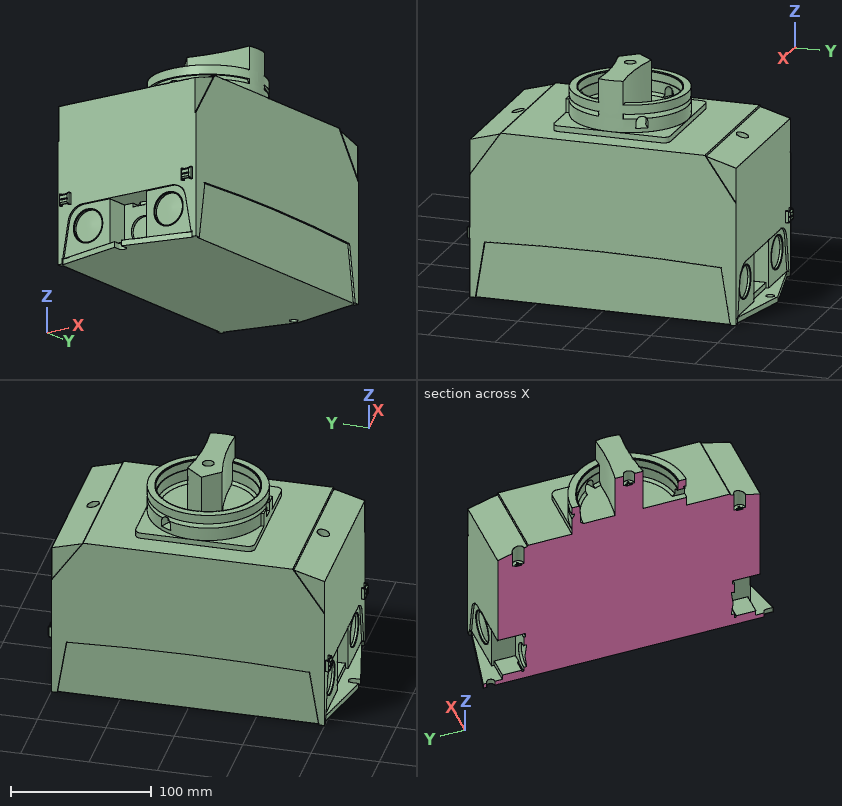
import cadquery as cq
import math

total_length = 221.5
total_height = 167.7

cover_width = 120.0
cover_length = 199.8
cover_height = 125.2
flat_length = 153.3
step_run = 0.7
step_drop = 0.9
slope_end_height = 117.9
cheek_inset = 0.7
cheek_end_height = 91.7
cover_wall = 1.5

plate_width = 113.0
plate_thickness = 4.2
mount_hole_diameter = 6.0
mount_hole_y = 105.0
mount_slot_y = -105.7

panel_bottom_half = 95.7
panel_top_half = 88.8
panel_corner_height = 42.3
panel_crown_height = 44.5

arch_bottom_half = 55.8
arch_top_half = 49.2
arch_height = 41.6
arch_corner_radius = 12.8

pocket_width = 32.0
pocket_depth = 18.2
pocket_floor = 8.2
sill_setback = 2.0
window_width = 17.3
window_height = 2.7
window_depth = 6.6
window_ridge_x = 2.5
window_ridge_depth = 0.7
window_flat_depth = 1.8
notch_width = 18.2
notch_run = 1.0
notch_drop = 1.3

knockout_rim = 25.3
knockout_rim_depth = 0.5
knockout_bore = 24.0
knockout_cone_diameter = 20.2
knockout_depth = 2.2
knockout_cone_height = 1.3
side_knockout_x = 35.0
side_knockout_z = 25.0
middle_knockout_z = 20.5

clip_x = 53.0
clip_size = 8.6
clip_bottom = 43.0
clip_reach = 3.3
clip_chamfer = 1.0
clip_cheek = 1.3
clip_bar_thickness = 1.8
clip_bar_inset = 0.7
clip_groove_height = 0.7
clip_groove_depth = 0.9
clip_groove_offset = 3.8

cover_screw_diameter = 8.6
cover_screw_y = 84.2
handle_screw_diameter = 8.2
screw_depth = 8.9
cross_length = 4.9
cross_width = 1.0
cross_depth = 1.0

seat_size = 86.8
seat_front_overhang = 0.5
seat_top = 129.4
seat_corner_radius = 4.9
drum_diameter = 86.8
neck_diameter = 82.9
drum_shoulder = 139.5
neck_height = 143.1
drum_top = 150.0
cup_floor = 132.5
cup_floor_radius = 34.8
cup_chamfer = 2.0
cup_radius = cup_floor_radius + cup_chamfer
ledge_height = 143.0
ledge_radius = 37.2
rim_height = 149.0
rim_radius = 37.9
front_pad_width = 25.3

padlock_count = 3
padlock_first_angle = 30
padlock_width = 8.6
padlock_top = 141.1

handle_tip_x = -20.4
handle_shoulder_x = -9.7
handle_shoulder_half = 12.6
handle_waist_x = 24.4
handle_waist_half = 8.5
handle_end_half = 9.3

half_width = cover_width / 2
half_length = cover_length / 2
half_flat = flat_length / 2
base_half_length = half_length - cover_wall
drum_radius = drum_diameter / 2
slope_start_y = half_flat + step_run
slope_start_z = cover_height - step_drop


def box(x0, x1, y0, y1, z0, z1):
    """Axis-aligned block between two opposite corners."""
    return cq.Workplane("XY").box(x1 - x0, y1 - y0, z1 - z0, centered=False).translate((x0, y0, z0))


def both_ends(shape):
    """The shape together with its mirror image at the opposite Y end."""
    return shape.union(shape.mirror("XZ"))


def both_sides(shape):
    """The shape together with its mirror image at the opposite X side."""
    return shape.union(shape.mirror("YZ"))


def cover_body():
    half_profile = [
        (half_length, 0),
        (half_length, slope_end_height),
        (slope_start_y, slope_start_z),
        (half_flat, cover_height),
    ]
    other_half = [(-y, z) for y, z in reversed(half_profile)]
    return cq.Workplane("YZ").polyline(half_profile + other_half).close().extrude(half_width, both=True)


def corner_cheeks():
    outline = [
        (half_length, cheek_end_height),
        (half_length, cover_height),
        (slope_start_y, cover_height),
        (slope_start_y, slope_start_z),
    ]
    cheek = cq.Workplane("YZ").workplane(offset=half_width - cheek_inset).polyline(outline).close()
    return both_ends(both_sides(cheek.extrude(cheek_inset)))


def side_openings():
    panel = (
        cq.Workplane("YZ")
        .workplane(offset=half_width - cover_wall)
        .moveTo(-panel_bottom_half, 0)
        .lineTo(-panel_top_half, panel_corner_height)
        .threePointArc((0, panel_crown_height), (panel_top_half, panel_corner_height))
        .lineTo(panel_bottom_half, 0)
        .close()
        .extrude(cover_wall)
    )
    return both_sides(panel)


def end_openings():
    outline = [
        (-arch_bottom_half, plate_thickness),
        (-arch_top_half, arch_height),
        (arch_top_half, arch_height),
        (arch_bottom_half, plate_thickness),
    ]
    arch = cq.Workplane("XZ", origin=(0, -base_half_length, 0)).polyline(outline).close().extrude(cover_wall)
    arch = arch.edges("|Y and >Z").fillet(arch_corner_radius)
    plate_gap = box(-plate_width / 2, plate_width / 2, -half_length, -base_half_length, 0, plate_thickness)
    return both_ends(arch.union(plate_gap))


def mounting_plate():
    half_plate = plate_width / 2
    slope = (total_length / 2 - base_half_length) / (half_plate - mount_hole_diameter / 2)
    slot_tip = base_half_length + slope * half_plate
    outline = [
        (-half_plate, -base_half_length),
        (0, -slot_tip),
        (half_plate, -base_half_length),
        (half_plate, base_half_length),
        (0, total_length / 2),
        (-half_plate, base_half_length),
    ]
    return cq.Workplane("XY").polyline(outline).close().extrude(plate_thickness)


def mounting_cuts():
    radius = mount_hole_diameter / 2
    hole = cq.Workplane("XY").center(0, mount_hole_y).circle(radius).extrude(plate_thickness)
    slot_end = cq.Workplane("XY").center(0, mount_slot_y).circle(radius).extrude(plate_thickness)
    slot = box(-radius, radius, -total_length, mount_slot_y, 0, plate_thickness)
    return hole.union(slot_end).union(slot)


def cable_pockets():
    half_pocket = pocket_width / 2
    back = -base_half_length + pocket_depth
    sill = -base_half_length + sill_setback
    pocket = box(-half_pocket, half_pocket, -base_half_length, back, pocket_floor, arch_height)
    step = box(-half_pocket, half_pocket, -base_half_length, sill, plate_thickness, pocket_floor)
    notch = box(
        -notch_width / 2, notch_width / 2, back - notch_run, back, pocket_floor - notch_drop, pocket_floor
    )
    half_window = window_width / 2
    window_outline = [
        (-half_window, back),
        (-half_window, back + window_depth),
        (-window_ridge_x, back + window_ridge_depth),
        (window_ridge_x, back + window_flat_depth),
        (half_window, back + window_flat_depth),
        (half_window, back),
    ]
    window = cq.Workplane("XY", origin=(0, 0, arch_height)).polyline(window_outline).close()
    return both_ends(pocket.union(step).union(notch).union(window.extrude(-window_height)))


def knockout(x, y, z, bore_diameter):
    """Round recess in a wall facing -Y, with a shallow cone rising from its floor."""
    bore = cq.Workplane("XZ", origin=(x, y, z)).circle(bore_diameter / 2).extrude(-knockout_depth)
    floor_center = cq.Vector(x, y + knockout_depth, z)
    cone = cq.Solid.makeCone(
        knockout_cone_diameter / 2, 0, knockout_cone_height, floor_center, cq.Vector(0, -1, 0)
    )
    return bore.cut(cq.Workplane("XY").add(cone))


def knockouts():
    side_center = (side_knockout_x, -base_half_length, side_knockout_z)
    rim = cq.Workplane("XZ", origin=side_center).circle(knockout_rim / 2).extrude(-knockout_rim_depth)
    side = knockout(*side_center, knockout_bore).union(rim)
    pocket_back = -base_half_length + pocket_depth
    middle = knockout(0, pocket_back, middle_knockout_z, knockout_cone_diameter)
    return both_ends(both_sides(side).union(middle))


def clip(x):
    """Cover clip on the -Y end: two chamfered cheeks hold a grooved bar clear of the wall."""
    x0 = x - clip_size / 2
    x1 = x + clip_size / 2
    bar_x0 = x0 + clip_cheek
    bar_x1 = x1 - clip_cheek
    top = clip_bottom + clip_size
    front = -half_length - clip_reach
    cheeks = box(x0, x1, front, -half_length, clip_bottom, top)
    cheeks = cheeks.faces("<Y").edges().chamfer(clip_chamfer)
    cheeks = cheeks.cut(box(bar_x0, bar_x1, front, -half_length, clip_bottom, top))
    bar_back = front + clip_bar_thickness
    bar = box(bar_x0, bar_x1, front, bar_back, clip_bottom + clip_bar_inset, top - clip_bar_inset)
    bar = bar.edges("|X and <Y").chamfer(clip_chamfer)
    groove_bottom = clip_bottom + clip_groove_offset
    groove_top = groove_bottom + clip_groove_height
    groove = box(bar_x0, bar_x1, front, front + clip_groove_depth, groove_bottom, groove_top)
    return cheeks.union(bar.cut(groove))


def screw_recess(y, top, diameter):
    """Vertical screw hole with a cross slot in its floor."""
    floor = top - screw_depth
    hole = cq.Workplane("XY", origin=(0, y, floor)).circle(diameter / 2).extrude(total_height)
    slots = cq.Workplane("XY", origin=(0, y, floor)).rect(cross_length, cross_width).extrude(-cross_depth)
    slots = slots.union(
        cq.Workplane("XY", origin=(0, y, floor)).rect(cross_width, cross_length).extrude(-cross_depth)
    )
    return hole.union(slots)


def switch_seat():
    depth = seat_size + seat_front_overhang
    seat = cq.Workplane("XY", origin=(0, -seat_front_overhang / 2, cover_height)).rect(seat_size, depth)
    return seat.extrude(seat_top - cover_height).edges("|Z").fillet(seat_corner_radius)


def switch_drum():
    neck_radius = neck_diameter / 2
    profile = [
        (0, seat_top),
        (drum_radius, seat_top),
        (drum_radius, drum_shoulder),
        (neck_radius, neck_height),
        (drum_radius, neck_height),
        (drum_radius, drum_top),
        (rim_radius, drum_top),
        (rim_radius, rim_height),
        (ledge_radius, rim_height),
        (ledge_radius, ledge_height),
        (cup_radius, ledge_height),
        (cup_radius, cup_floor + cup_chamfer),
        (cup_floor_radius, cup_floor),
        (0, cup_floor),
    ]
    drum = cq.Workplane("XZ").polyline(profile).close().revolve(360, (0, 0, 0), (0, 1, 0))
    pad_half = front_pad_width / 2
    pad_front = -seat_size / 2 - seat_front_overhang
    front_pad = box(-pad_half, pad_half, pad_front, -cup_radius, seat_top, drum_shoulder)
    return drum.union(front_pad)


def padlock_holes():
    radius = padlock_width / 2
    arch_center = padlock_top - radius
    inner_reach = cup_floor_radius - cup_chamfer
    slot = box(inner_reach, seat_size, -radius, radius, cup_floor, arch_center)
    crown = cq.Workplane("YZ", origin=(inner_reach, 0, arch_center)).circle(radius)
    hole = slot.union(crown.extrude(seat_size - inner_reach))
    cuts = cq.Workplane("XY")
    for index in range(padlock_count):
        angle = padlock_first_angle + index * 360 / padlock_count
        cuts = cuts.union(hole.rotate((0, 0, 0), (0, 0, 1), angle))
    return cuts


def handle():
    end_x = math.sqrt(drum_radius**2 - handle_end_half**2)
    grip = (
        cq.Workplane("XY", origin=(0, 0, cup_floor))
        .moveTo(handle_tip_x, 0)
        .lineTo(handle_shoulder_x, -handle_shoulder_half)
        .threePointArc((handle_waist_x, -handle_waist_half), (end_x, -handle_end_half))
        .threePointArc((drum_radius, 0), (end_x, handle_end_half))
        .threePointArc((handle_waist_x, handle_waist_half), (handle_shoulder_x, handle_shoulder_half))
        .close()
    )
    return grip.extrude(total_height - cup_floor)


housing = cover_body().cut(corner_cheeks()).cut(side_openings()).cut(end_openings())
housing = housing.union(mounting_plate()).cut(mounting_cuts())
housing = housing.cut(cable_pockets()).cut(knockouts())
for screw_y in (-cover_screw_y, cover_screw_y):
    housing = housing.cut(screw_recess(screw_y, slope_end_height, cover_screw_diameter))

housing = housing.union(clip(-clip_x)).union(clip(clip_x)).union(clip(-clip_x).mirror("XZ"))

switch = switch_seat().union(switch_drum().cut(padlock_holes())).union(handle())
switch = switch.cut(screw_recess(0, total_height, handle_screw_diameter))

result = housing.union(switch)